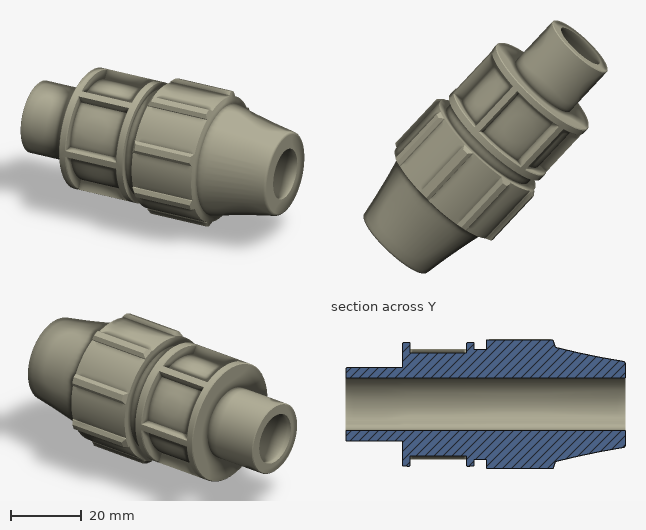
import cadquery as cq


total_length = 79.0
flange_start = 15.95
flange_end = 36.3
nut_start = 39.6
nut_end = 59.25

bore_diameter = 14.7
spigot_diameter = 20.9
neck_diameter = 31.2
edge_chamfer = 0.2

flange_diameter = 35.1
window_floor_diameter = 29.2
window_count = 6
rim_width = 2.2
web_width = 1.9

nut_diameter = 36.5
nut_bevel_length = 1.1

grip_count = 8
grip_top_radius = 19.5
grip_base_width = 3.5
grip_top_width = 1.8
grip_foot_radius = 18.5
grip_start_slope = 0.95

nose_start_diameter = 32.4
nose_end_diameter = 24.25
nose_hollow = 0.2
nose_fillet = 0.7

flange_radius = flange_diameter / 2
nut_radius = nut_diameter / 2
overlap = 0.8


def cylinder(start, end, diameter):
    """Solid cylinder on the X axis between two positions."""
    return cq.Workplane("YZ").workplane(offset=start).circle(diameter / 2).extrude(end - start)


def revolve_profile(profile):
    """Turn a closed (axial, radial) outline around the X axis."""
    return profile.close().revolve(360, (0, 0, 0), (1, 0, 0))


def make_spigot():
    spigot = cylinder(0, flange_start + overlap, spigot_diameter)
    return spigot.faces("<X").edges().chamfer(edge_chamfer)


def make_collar():
    """Flange with windows sunk between straight webs; the windows have chamfered end rims."""
    collar = cylinder(flange_start, flange_end, flange_diameter).faces("<X").edges().chamfer(edge_chamfer)

    window_start = flange_start + rim_width
    window_end = flange_end - rim_width
    groove = revolve_profile(
        cq.Workplane("XY")
        .moveTo(window_start, window_floor_diameter / 2)
        .lineTo(window_start, flange_radius - edge_chamfer)
        .lineTo(window_start - edge_chamfer, flange_radius)
        .lineTo(window_start - edge_chamfer, flange_radius + overlap)
        .lineTo(window_end + edge_chamfer, flange_radius + overlap)
        .lineTo(window_end + edge_chamfer, flange_radius)
        .lineTo(window_end, flange_radius - edge_chamfer)
        .lineTo(window_end, window_floor_diameter / 2)
    )
    web_length = flange_end - flange_start
    web_middle = (flange_start + flange_end) / 2
    for index in range(window_count // 2):
        web = (
            cq.Workplane("XY")
            .box(web_length, 2 * (flange_radius + 2 * overlap), web_width)
            .translate((web_middle, 0, 0))
            .rotate((0, 0, 0), (1, 0, 0), index * 360 / window_count)
        )
        groove = groove.cut(web)
    return collar.cut(groove)


def make_nut():
    """Nut with grip ribs; one conical bevel trims the nut and its ribs down to the nose."""
    nut = cylinder(nut_start, nut_end, nut_diameter)
    grip_rib = make_grip_rib()
    grip_pitch = 360 / grip_count
    for index in range(grip_count):
        nut = nut.union(grip_rib.rotate((0, 0, 0), (1, 0, 0), (index + 0.5) * grip_pitch))

    bevel_start = nut_end - nut_bevel_length
    envelope = revolve_profile(
        cq.Workplane("XY")
        .moveTo(nut_start, 0)
        .lineTo(nut_start, grip_top_radius + overlap)
        .lineTo(bevel_start, grip_top_radius + overlap)
        .lineTo(bevel_start, grip_top_radius)
        .lineTo(nut_end, nose_start_diameter / 2)
        .lineTo(nut_end, 0)
    )
    return nut.intersect(envelope)


def make_grip_rib():
    """One rib on the +Z side of the nut: a trapezoid on a straight foot, with a sloping front end."""
    root_radius = nut_radius - overlap
    section = (
        cq.Workplane("YZ")
        .workplane(offset=nut_start)
        .moveTo(-grip_base_width / 2, root_radius)
        .lineTo(-grip_base_width / 2, grip_foot_radius)
        .lineTo(-grip_top_width / 2, grip_top_radius)
        .lineTo(grip_top_width / 2, grip_top_radius)
        .lineTo(grip_base_width / 2, grip_foot_radius)
        .lineTo(grip_base_width / 2, root_radius)
        .close()
        .extrude(nut_end - nut_start)
    )
    side_outline = (
        cq.Workplane("XZ")
        .moveTo(nut_start, root_radius)
        .lineTo(nut_start, grip_foot_radius)
        .lineTo(nut_start + grip_start_slope, grip_top_radius)
        .lineTo(nut_end, grip_top_radius)
        .lineTo(nut_end, root_radius)
        .close()
        .extrude(grip_base_width, both=True)
    )
    return section.intersect(side_outline)


def make_nose():
    start_radius = nose_start_diameter / 2
    end_radius = nose_end_diameter / 2
    middle = ((nut_end + total_length) / 2, (start_radius + end_radius) / 2 - nose_hollow)
    nose = revolve_profile(
        cq.Workplane("XY")
        .moveTo(nut_end, 0)
        .lineTo(nut_end, start_radius)
        .threePointArc(middle, (total_length, end_radius))
        .lineTo(total_length, 0)
    )
    return nose.faces(">X").edges().fillet(nose_fillet)


body = make_spigot().union(make_collar())
body = body.union(cylinder(flange_end - overlap, nut_start + overlap, neck_diameter))
body = body.union(make_nut()).union(make_nose())

result = body.cut(cylinder(0, total_length, bore_diameter))